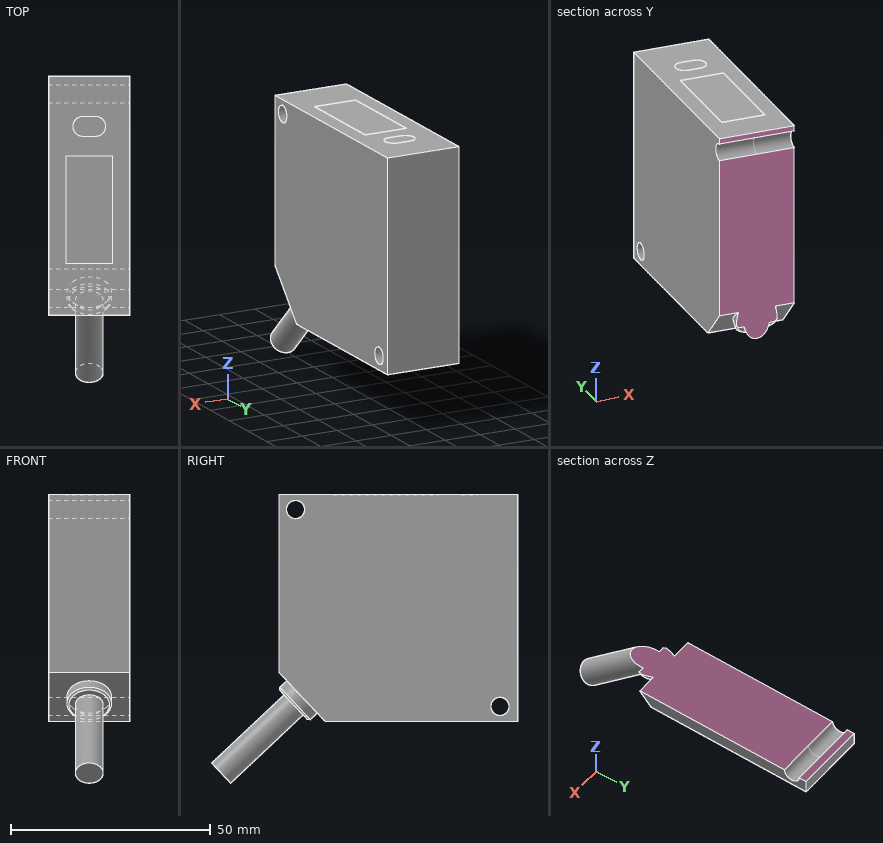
import cadquery as cq
import math

WIDTH = 20.4
DEPTH = 60.0
HEIGHT = 57.0

SLOPE_DEPTH = 11.64
SLOPE_HEIGHT = 12.35

HOLE_DIAMETER = 4.5
HOLE_EDGE_DISTANCE = 3.8
TOP_HOLE_FROM_FRONT = 4.2
LOW_HOLE_FROM_BACK = 4.5

RECESS_DEPTH = 0.1
WINDOW_WIDTH = 11.7
WINDOW_LENGTH = 27.0
WINDOW_FROM_BACK = 20.0
BUTTON_WIDTH = 8.2
BUTTON_LENGTH = 5.0
BUTTON_FROM_BACK = 12.6

COLLAR_DIAMETER = 11.2
COLLAR_LENGTH = 2.9
COLLAR_CHAMFER = 0.5
CABLE_DIAMETER = 7.0
CABLE_LENGTH = 27.88


def make_housing():
    """Rectangular block with the lower front corner cut off."""
    outline = [
        (SLOPE_DEPTH, 0),
        (DEPTH, 0),
        (DEPTH, HEIGHT),
        (0, HEIGHT),
        (0, SLOPE_HEIGHT),
    ]
    return cq.Workplane("YZ").polyline(outline).close().extrude(WIDTH / 2, both=True)


def make_mounting_holes():
    """Two cylinders running across the full width."""
    centres = [
        (TOP_HOLE_FROM_FRONT, HEIGHT - HOLE_EDGE_DISTANCE),
        (DEPTH - LOW_HOLE_FROM_BACK, HOLE_EDGE_DISTANCE),
    ]
    return (
        cq.Workplane("YZ")
        .pushPoints(centres)
        .circle(HOLE_DIAMETER / 2)
        .extrude(WIDTH, both=True)
    )


def make_top_recesses():
    """Display window and oval button area, sunk just below the top face."""
    floor = cq.Workplane("XY").workplane(offset=HEIGHT - RECESS_DEPTH)
    window = (
        floor.center(0, DEPTH - WINDOW_FROM_BACK - WINDOW_LENGTH / 2)
        .rect(WINDOW_WIDTH, WINDOW_LENGTH)
        .extrude(RECESS_DEPTH)
    )
    button = (
        floor.center(0, DEPTH - BUTTON_FROM_BACK)
        .slot2D(BUTTON_WIDTH, BUTTON_LENGTH)
        .extrude(RECESS_DEPTH)
    )
    return window.union(button)


def make_cable():
    """Chamfered collar and cable, leaving the middle of the slope at right angles."""
    slope_length = math.hypot(SLOPE_DEPTH, SLOPE_HEIGHT)
    outward = (0, -SLOPE_HEIGHT / slope_length, -SLOPE_DEPTH / slope_length)
    slope_middle = (0, SLOPE_DEPTH / 2, SLOPE_HEIGHT / 2)
    slope = cq.Workplane(cq.Plane(origin=slope_middle, xDir=(1, 0, 0), normal=outward))
    collar = (
        slope.circle(COLLAR_DIAMETER / 2)
        .extrude(COLLAR_LENGTH)
        .faces(cq.selectors.DirectionMinMaxSelector(cq.Vector(*outward), True))
        .chamfer(COLLAR_CHAMFER)
    )
    cable = slope.circle(CABLE_DIAMETER / 2).extrude(CABLE_LENGTH)
    return collar.union(cable)


result = make_housing().cut(make_mounting_holes()).cut(make_top_recesses()).union(make_cable())